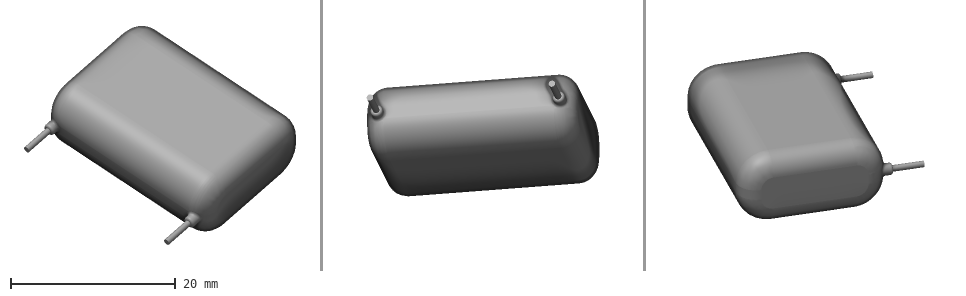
import cadquery as cq

body_length = 26.0
body_depth = 18.5
body_height = 9.3
long_edge_radius = 4.0
end_edge_radius = 2.5

lead_spacing = 22.52
lead_positions = (-lead_spacing / 2, lead_spacing / 2)
lead_diameter = 0.8
lead_reach = 5.0
collar_diameter = 1.5
collar_reach = 1.0
collar_round = 0.3

body_front = lead_reach - (body_depth + lead_reach) / 2
body_middle = body_front + body_depth / 2


def make_body():
    """Block with rounded long edges, then rounded all round both end faces."""
    block = cq.Workplane("XY").box(body_length, body_depth, body_height)
    block = block.edges("|X").fillet(long_edge_radius)
    block = block.faces("<X or >X").edges().fillet(end_edge_radius)
    return block.translate((0, body_middle, 0))


def rod(x, diameter, reach):
    """Round rod along Y, from inside the body to a reach beyond its front."""
    end = cq.Workplane("XZ", origin=(x, body_front - reach, 0))
    return end.circle(diameter / 2).extrude(-(reach + long_edge_radius))


def add_collars(body):
    """Join both collars to the body with a blend around each root."""
    for x in lead_positions:
        collar = rod(x, collar_diameter, collar_reach)
        collar = collar.faces("<Y").edges().fillet(collar_round)
        body = body.union(collar)
    root_band = cq.selectors.BoxSelector(
        (-body_length, body_front - collar_round / 2, -collar_diameter),
        (body_length, body_front + collar_diameter / 2, collar_diameter),
        boundingbox=True,
    )
    return body.edges(root_band).fillet(collar_round)


result = add_collars(make_body())
for lead_x in lead_positions:
    result = result.union(rod(lead_x, lead_diameter, lead_reach))